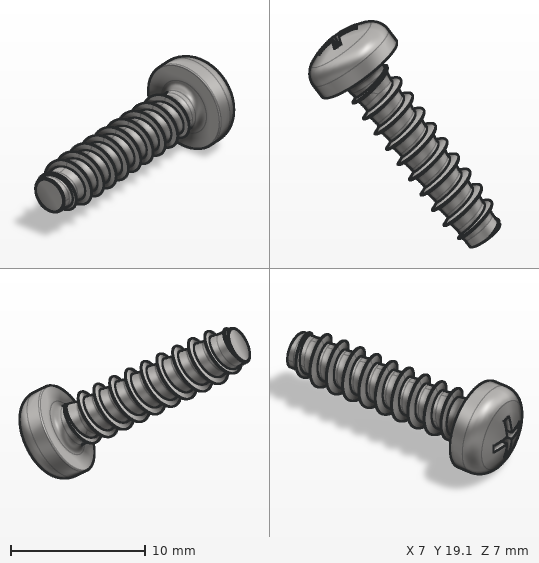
import cadquery as cq
import math


total_length = 19.05

head_diameter = 7.0
head_height = 3.07
rim_height = 1.16
dome_radius = 5.87
rim_fillet = 0.1

slot_width = 0.63
recess_mouth_radius = 1.9
recess_floor_radius = 0.76
recess_depth = 2.1
recess_clearance = 0.38

neck_radius = 1.6
neck_fillet = 0.57
neck_taper_length = 1.05
core_radius = 1.41
tip_face_radius = 1.31
tip_cone_height = 0.04
tip_bevel_height = 0.05

helix_length = 15.32
thread_radius = 2.0
crest_width = 0.08
head_flank_width = 0.25
tip_flank_width = 0.124
skirt_radius = 1.52
skirt_width = 0.75
root_depth = 0.02
run_in_turns = 1.5
full_turns = 8
run_out_turns = 1
run_in_radius = 1.41
run_out_radius = 1.71
start_angle = 90.0
thread_top = 15.01

head_radius = head_diameter / 2
head_base = total_length - head_height
pitch = helix_length / (run_in_turns + full_turns + run_out_turns)
thread_bottom = tip_cone_height + tip_bevel_height
root_radius = core_radius - root_depth


def make_head():
    """Pan head: straight rim, rounded shoulder and a dome tangent to it."""
    corner_radius = slot_width / math.sqrt(2)
    crown = total_length + dome_radius - math.sqrt(dome_radius**2 - corner_radius**2)
    dome_center = crown - dome_radius
    shoulder_base = head_base + rim_height
    rise = crown - shoulder_base
    shoulder_excess = 2 * dome_radius * rise - head_radius**2 - rise**2
    shoulder_radius = shoulder_excess / (2 * (dome_radius - head_radius))
    shoulder_center = head_radius - shoulder_radius
    join_angle = math.asin(shoulder_center / (dome_radius - shoulder_radius))
    shoulder_angle = (join_angle + math.pi / 2) / 2

    def on_dome(angle):
        return dome_radius * math.sin(angle), dome_center + dome_radius * math.cos(angle)

    shoulder_middle = (
        shoulder_center + shoulder_radius * math.sin(shoulder_angle),
        shoulder_base + shoulder_radius * math.cos(shoulder_angle),
    )
    outline = (
        cq.Workplane("XZ")
        .moveTo(0, head_base)
        .lineTo(head_radius, head_base)
        .lineTo(head_radius, shoulder_base)
        .threePointArc(shoulder_middle, on_dome(join_angle))
        .threePointArc(on_dome(join_angle / 2), (0, crown))
        .close()
    )
    head = outline.revolve(360, (0, 0), (0, 1))
    return head.faces("<Z").edges().fillet(rim_fillet)


def make_recess():
    """Cross of two slots, with slot ends that lean inwards along a cone."""
    taper = math.degrees(math.atan((recess_mouth_radius - recess_floor_radius) / recess_depth))
    floor = cq.Workplane("XY", origin=(0, 0, total_length - recess_depth))
    cut_height = recess_depth + recess_clearance
    cone = floor.circle(recess_floor_radius).extrude(cut_height, taper=-taper)
    slot_length = head_diameter
    cross = floor.rect(slot_length, slot_width).extrude(cut_height)
    cross = cross.union(floor.rect(slot_width, slot_length).extrude(cut_height))
    return cross.intersect(cone)


def make_shank():
    """Shank without thread, from the flat tip cone to the fillet under the head."""
    fillet_inset = neck_fillet * (1 - math.sqrt(0.5))
    return (
        cq.Workplane("XZ")
        .moveTo(0, 0)
        .lineTo(tip_face_radius, tip_cone_height)
        .lineTo(core_radius, thread_bottom)
        .lineTo(core_radius, thread_top - neck_taper_length)
        .lineTo(neck_radius, thread_top)
        .lineTo(neck_radius, head_base - neck_fillet)
        .threePointArc(
            (neck_radius + fillet_inset, head_base - fillet_inset),
            (neck_radius + neck_fillet, head_base),
        )
        .lineTo(0, head_base)
        .close()
        .revolve(360, (0, 0), (0, 1))
    )


def helix_edge(start, end, turns):
    """Right-handed helix from (radius, height) `start` to `end`, on a cylinder or cone."""
    rise = end[1] - start[1]
    if start[0] == end[0]:
        wire = cq.Wire.makeHelix(rise / turns, rise, start[0])
    else:
        cone_angle = math.atan((end[0] - start[0]) / rise)
        slant = rise / math.cos(cone_angle)
        wire = cq.Wire.makeHelix(slant / turns, slant, start[0], angle=math.degrees(cone_angle))
    return wire.moved(cq.Location(cq.Vector(0, 0, start[1]))).Edges()[0]


def helical_solid(first_profile, last_profile, turns_before, turns):
    """Solid winding from one (radius, offset) profile to another around the axis."""
    rails = [
        helix_edge((r0, z0), (r1, z1 + turns * pitch), turns)
        for (r0, z0), (r1, z1) in zip(first_profile, last_profile)
    ]
    sides = [cq.Face.makeRuledSurface(a, b) for a, b in zip(rails, rails[1:] + rails[:1])]
    caps = []
    for position in (0, 1):
        corners = [rail.positionAt(position) for rail in rails]
        caps.append(cq.Face.makeFromWires(cq.Wire.makePolygon(corners, close=True)))
    solid = cq.Solid.makeSolid(cq.Shell.makeShell(sides + caps))
    solid = cq.Workplane(solid.fix())
    solid = solid.rotate((0, 0, 0), (0, 0, 1), start_angle + 360 * turns_before)
    return solid.translate((0, 0, turns_before * pitch))


def thread_profile(crest_radius):
    """Section of the thread with its skirt; a lower thread has narrower flanks and skirt."""
    fullness = (crest_radius - root_radius) / (thread_radius - root_radius)
    half_crest = crest_width / 2
    skirt_top = -half_crest - tip_flank_width * fullness
    skirt_run = skirt_width * (skirt_radius - root_radius) / (skirt_radius - core_radius)
    head_flank_run = head_flank_width * (thread_radius - root_radius) / (thread_radius - core_radius)
    return [
        (root_radius, skirt_top - skirt_run * fullness),
        (root_radius + (skirt_radius - root_radius) * fullness, skirt_top),
        (crest_radius, -half_crest),
        (crest_radius, half_crest),
        (root_radius, half_crest + head_flank_run * fullness),
    ]


def make_thread():
    """Run-in at the tip, single full turns, and run-out at the neck, trimmed flat at both ends."""
    full = thread_profile(thread_radius)
    stretches = [helical_solid(thread_profile(run_in_radius), full, 0, run_in_turns)]
    for turn in range(full_turns):
        stretches.append(helical_solid(full, full, run_in_turns + turn, 1))
    run_out = thread_profile(run_out_radius)
    stretches.append(helical_solid(full, run_out, run_in_turns + full_turns, run_out_turns))
    limits = cq.Workplane("XY", origin=(0, 0, thread_bottom)).circle(head_radius)
    limits = limits.extrude(thread_top - thread_bottom)
    return [stretch.intersect(limits) for stretch in stretches]


screw = make_shank()
for stretch in make_thread():
    screw = screw.union(stretch)
screw = screw.union(make_head()).cut(make_recess())

result = screw.rotate((0, 0, 0), (1, 0, 0), -90).solids()